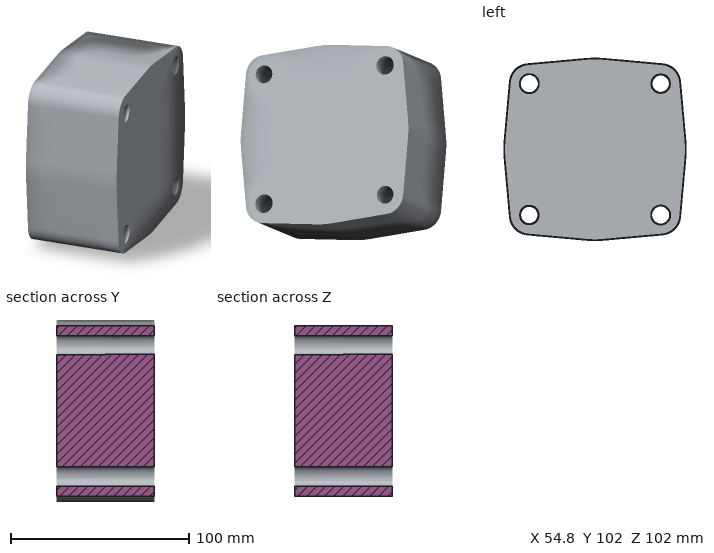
import cadquery as cq
import math

thickness = 54.8
crown_radius = 51.0
corner_radius = 11.0
hole_offset = 36.8
clearance_diameter = 10.5
locating_diameter = 10.1
locating_length = thickness / 2

flank_slope = math.asin((crown_radius - corner_radius) / (math.sqrt(2) * hole_offset)) - math.pi / 4


def polar(radius, angle, center=(0, 0)):
    """Point at the given radius and angle around a centre."""
    return (center[0] + radius * math.cos(angle), center[1] + radius * math.sin(angle))


def block():
    """Square block with crowned sides and round corners, extruded along X."""
    outline = cq.Workplane("YZ").moveTo(*polar(crown_radius, -flank_slope))
    for side in range(4):
        side_angle = side * math.pi / 2
        corner_angle = side_angle + math.pi / 4
        corner_center = polar(math.sqrt(2) * hole_offset, corner_angle)
        flank_angle = side_angle + flank_slope
        next_side_angle = side_angle + math.pi / 2
        next_flank_angle = next_side_angle - flank_slope
        outline = outline.threePointArc(polar(crown_radius, side_angle), polar(crown_radius, flank_angle))
        outline = outline.lineTo(*polar(corner_radius, flank_angle, corner_center))
        outline = outline.threePointArc(
            polar(corner_radius, corner_angle, corner_center),
            polar(corner_radius, next_flank_angle, corner_center),
        )
        outline = outline.lineTo(*polar(crown_radius, next_flank_angle))
    return outline.close().extrude(thickness / 2, both=True)


def hole_cutters(centers, diameter, start, length):
    """Cylinders along +X at the given (Y, Z) centres."""
    plane = cq.Workplane("YZ", origin=(start, 0, 0))
    return plane.pushPoints(centers).circle(diameter / 2).extrude(length)


front_face = -thickness / 2
plain_centers = [(hole_offset, hole_offset), (-hole_offset, -hole_offset)]
locating_centers = [(-hole_offset, hole_offset), (hole_offset, -hole_offset)]

result = block().cut(hole_cutters(plain_centers, clearance_diameter, front_face, thickness))

result = result.cut(hole_cutters(locating_centers, locating_diameter, front_face, thickness))
result = result.cut(
    hole_cutters(locating_centers, clearance_diameter, front_face, thickness - locating_length)
)